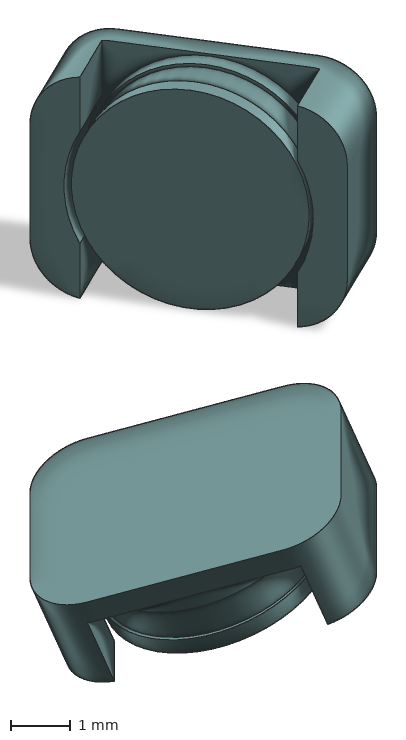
import cadquery as cq

width = 5.5
depth = 1.8
height = 4.2
corner_radius = 1.02
back_thickness = 0.44

slot_width = 3.77
bore_radius = 2.16

flange_radius = 2.06
flange_thickness = 0.31
winding_radius = 2.0
drum_recess = 0.1

front_y = -depth / 2
floor_y = depth / 2 - back_thickness
drum_front_y = front_y + drum_recess
opening_depth = floor_y - front_y


def disc(radius, start_y, end_y):
    """Solid disc on the Y axis between two Y positions (start_y < end_y)."""
    plane = cq.Plane(origin=(0, start_y, 0), xDir=(0, 0, 1), normal=(0, 1, 0))
    return cq.Workplane(plane).circle(radius).extrude(end_y - start_y)


def make_housing():
    """Rounded block with the slot and bore cut from the front to the back wall."""
    block = cq.Workplane("XY").box(width, depth, height).edges("|Y").fillet(corner_radius)
    slot_centre_y = (front_y + floor_y) / 2
    slot = cq.Workplane("XY").box(slot_width, opening_depth, height).translate((0, slot_centre_y, 0))
    bore = disc(bore_radius, front_y, floor_y)
    return block.cut(slot).cut(bore)


def make_drum():
    """Two equal flanges joined by a slightly smaller winding."""
    winding_start_y = drum_front_y + flange_thickness
    winding_end_y = floor_y - flange_thickness
    front_flange = disc(flange_radius, drum_front_y, winding_start_y)
    winding = disc(winding_radius, winding_start_y, winding_end_y)
    back_flange = disc(flange_radius, winding_end_y, floor_y)
    return front_flange.union(winding).union(back_flange)


result = make_housing().union(make_drum())